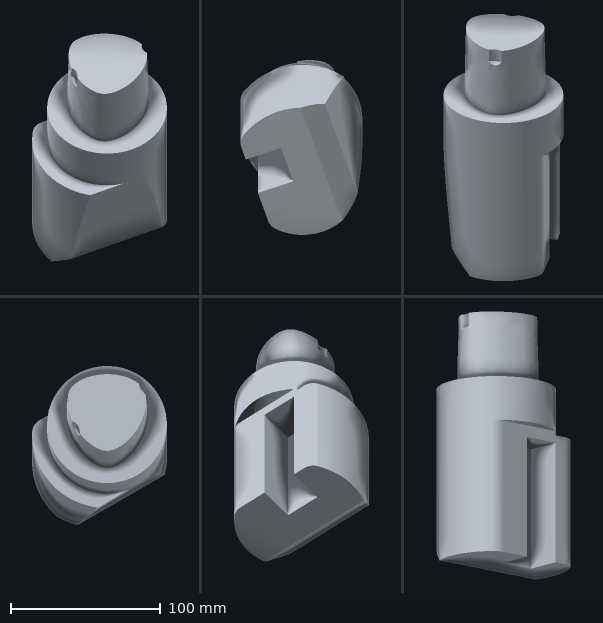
import cadquery as cq
import math


flange_radius = 40.0
flange_thickness = 30.0

body_bottom = -120.0
lobe_radius = 50.0
lobe_top = -33.0
flat_x = -31.5
corner_radius = 10.0

slope_top = -30.0
slope_foot_x = 29.7
foot_chamfer = 14.5

slot_width = 25.0
slot_depth = 25.0
slot_top = -38.0

shank_height = 48.0
shank_base_radius = 27.4
shank_taper = 1 / 20
shank_lobe_height = 2.0
shank_lobe_count = 3
outline_samples = 96

notch_radius = 7.0
notch_bite = 2.1
notch_length = 8.7

shank_top_radius = shank_base_radius - shank_height * shank_taper / 2


def shank_outline(mean_radius, z):
    """Closed three-lobed curve of constant width, with one lobe towards +Y."""

    def point(t):
        angle = 2 * math.pi * t
        normal = mean_radius + shank_lobe_height * math.cos(shank_lobe_count * angle)
        tangent = -shank_lobe_count * shank_lobe_height * math.sin(shank_lobe_count * angle)
        x = -normal * math.sin(angle) - tangent * math.cos(angle)
        y = normal * math.cos(angle) - tangent * math.sin(angle)
        return (x, y, z)

    return cq.Workplane("XY").parametricCurve(point, N=outline_samples).val()


def make_notch_cutter(center_y):
    """Vertical drill with a 90 degree point, reaching down from the shank's top."""
    shoulder_z = shank_height - notch_length
    return (
        cq.Workplane("XZ")
        .moveTo(0, shank_height)
        .lineTo(notch_radius, shank_height)
        .lineTo(notch_radius, shoulder_z)
        .lineTo(0, shoulder_z - notch_radius)
        .close()
        .revolve(360, (0, 0, 0), (0, 1, 0))
        .translate((0, center_y, 0))
    )


def make_shank():
    outlines = [
        shank_outline(shank_base_radius, 0),
        shank_outline(shank_top_radius, shank_height),
    ]
    shank = cq.Workplane(obj=cq.Solid.makeLoft(outlines, True))
    center_offset = notch_radius - notch_bite
    lobe_side_y = shank_top_radius + shank_lobe_height + center_offset
    flat_side_y = -(shank_top_radius - shank_lobe_height + center_offset)
    for center_y in (lobe_side_y, flat_side_y):
        shank = shank.cut(make_notch_cutter(center_y))
    return shank


def corner_points(arc_radius):
    """Start, middle and end of the round joining the flat to an arc about the Z axis.

    The start is on the flat; Y values are given for the +Y side.
    """
    center_x = flat_x + corner_radius
    center_distance = arc_radius - corner_radius
    center_y = math.sqrt(center_distance**2 - center_x**2)
    end_angle = math.atan2(center_y, center_x)
    mid_angle = (math.pi + end_angle) / 2
    return [
        (center_x + corner_radius * math.cos(a), center_y + corner_radius * math.sin(a))
        for a in (math.pi, mid_angle, end_angle)
    ]


def make_flanged_cylinder():
    """Flange and the body section below it, as one cylinder with the flat cut into it."""
    start, middle, end = corner_points(flange_radius)
    flat_end_y = -math.sqrt(flange_radius**2 - flat_x**2)
    beside_flat = (
        cq.Workplane("XY", origin=(0, 0, body_bottom))
        .moveTo(flat_x, flat_end_y)
        .lineTo(*start)
        .threePointArc(middle, end)
        .threePointArc((-flange_radius, 0), (flat_x, flat_end_y))
        .close()
        .extrude(-flange_thickness - body_bottom)
    )
    cylinder = cq.Workplane("XY").circle(flange_radius).extrude(body_bottom)
    return cylinder.cut(beside_flat)


def make_lobe():
    """Body section reaching beyond the flange on the -Y side."""
    start, middle, end = [(x, -y) for x, y in corner_points(lobe_radius)]
    side_end_y = -math.sqrt(lobe_radius**2 - flange_radius**2)
    return (
        cq.Workplane("XY", origin=(0, 0, body_bottom))
        .moveTo(flat_x, 0)
        .lineTo(*start)
        .threePointArc(middle, end)
        .threePointArc((0, -lobe_radius), (flange_radius, side_end_y))
        .lineTo(flange_radius, 0)
        .close()
        .extrude(lobe_top - body_bottom)
    )


def make_relief_cutter():
    return (
        cq.Workplane("XZ")
        .moveTo(flange_radius, slope_top)
        .lineTo(slope_foot_x, body_bottom + foot_chamfer)
        .lineTo(slope_foot_x - foot_chamfer, body_bottom)
        .lineTo(flange_radius, body_bottom)
        .close()
        .extrude(lobe_radius, both=True)
    )


def make_slot_cutter():
    return cq.Workplane("XY").box(
        slot_depth, slot_width, slot_top - body_bottom, centered=False
    ).translate((flat_x, -slot_width, body_bottom))


def make_body():
    body = make_flanged_cylinder().union(make_lobe())
    return body.cut(make_relief_cutter()).cut(make_slot_cutter())


result = make_body().union(make_shank())